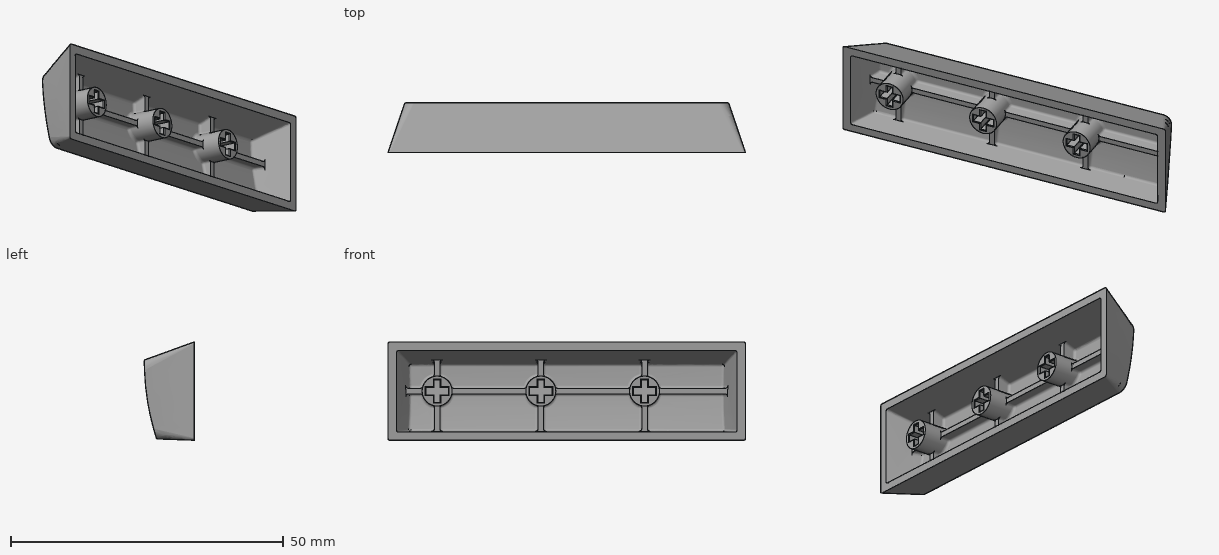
import cadquery as cq
import math

width = 65.72
height = 18.1
depth = 9.2
wall = 1.5
floor_thickness = 1.9

crest_z = 5.5
top_arc_radius = 46.0

end_upper_y = 9.8
end_lower_y = 7.6
upper_slope = 0.362
lower_slope = 0.036
end_side_inset = 3.22

rim_corner_radius = 0.4
end_corner_radius = 1.95
top_edge_fillet = 0.4

cavity_corner_radius = 0.4
cavity_fillet = 0.5

key_pitch = 19.05
stem_offset = -key_pitch / 4
stem_centers = [stem_offset + i * key_pitch for i in (-1, 0, 1)]
stem_diameter = 5.5
stem_end_y = 1.0
rib_thickness = 1.0
rib_edge_y = 4.7
rib_edge_clearance = 0.1

cross_length = 4.1
upright_slot = 1.1
level_slot = 1.35
mouth_chamfer = 0.15
mouth_chamfer_angle = 45


def tapered_block(inset, start_radius, end_radius):
    """Loft from the rim to the tilted end section, with every wall moved inward by inset."""
    side_inset = inset * math.hypot(1, end_side_inset / depth)
    rim_upper = height / 2 - inset * math.hypot(1, upper_slope)
    rim_lower = -height / 2 + inset * math.hypot(1, lower_slope)
    end_upper = rim_upper - upper_slope * end_upper_y
    end_lower = rim_lower + lower_slope * end_lower_y
    rim_width = width - 2 * side_inset
    end_width = rim_width - 2 * end_side_inset
    end_height = math.hypot(end_upper - end_lower, end_upper_y - end_lower_y)

    rim_center = (0, 0, (rim_upper + rim_lower) / 2)
    end_center = (0, (end_upper_y + end_lower_y) / 2, (end_upper + end_lower) / 2)
    end_normal = (0, end_lower - end_upper, end_upper_y - end_lower_y)
    rim_plane = cq.Plane(rim_center, (1, 0, 0), (0, -1, 0))
    end_plane = cq.Plane(end_center, (1, 0, 0), end_normal)
    rim_to_end = rim_plane.location.inverse * end_plane.location

    rim = cq.Sketch().rect(rim_width, rim_upper - rim_lower).vertices().fillet(start_radius)
    end = cq.Sketch().rect(end_width, end_height).vertices().fillet(end_radius)
    return cq.Workplane(rim_plane).placeSketch(rim, end.moved(rim_to_end)).loft(ruled=True)


def under_key_top(offset):
    """Cylinder along X bounded by the key top arc, pulled in by offset."""
    axis = cq.Workplane("YZ", origin=(0, depth - top_arc_radius, crest_z))
    return axis.circle(top_arc_radius - offset).extrude(width, both=True)


def outer_body():
    """Solid cap without its cavity, rounded around the key top."""
    body = tapered_block(0, rim_corner_radius, end_corner_radius).intersect(under_key_top(0))
    return body.faces(">Y").edges().fillet(top_edge_fillet)


def rib(x_size, z_size, x):
    """Plate centred on x and z = 0, from the rib edge to beyond the cavity floor."""
    base = cq.Workplane("XY", origin=(x, rib_edge_y, 0))
    return base.box(x_size, depth, z_size, centered=(True, False, True))


def stem(x):
    return cq.Workplane("XZ", origin=(x, stem_end_y, 0)).circle(stem_diameter / 2).extrude(-depth)


def cavity():
    """Space inside the cap, with the ribs and stems left standing."""
    space = tapered_block(wall, cavity_corner_radius, cavity_corner_radius)
    space = space.intersect(under_key_top(floor_thickness))
    space = space.cut(rib(width, rib_thickness, 0))
    for x in stem_centers:
        space = space.cut(rib(rib_thickness, height, x)).cut(stem(x))
    zone_start = (-width, rib_edge_y + rib_edge_clearance, -height)
    zone_end = (width, depth, height)
    return space.edges(cq.selectors.BoxSelector(zone_start, zone_end)).fillet(cavity_fillet)


def socket_arm(x_size, z_size, x):
    """Rectangular slot from the stem end inward, with a chamfered mouth."""
    end_face = cq.Workplane("XZ", origin=(x, stem_end_y, 0))
    slot = end_face.rect(x_size, z_size).extrude(-depth)
    mouth = end_face.rect(x_size + 2 * mouth_chamfer, z_size + 2 * mouth_chamfer)
    return slot.union(mouth.extrude(-mouth_chamfer, taper=mouth_chamfer_angle))


def cross_socket(x):
    """Cross that runs from the stem end down to the cavity floor."""
    cross = socket_arm(upright_slot, cross_length, x).union(socket_arm(cross_length, level_slot, x))
    return cross.intersect(under_key_top(floor_thickness))


result = outer_body().cut(cavity())
for stem_x in stem_centers:
    result = result.cut(cross_socket(stem_x))